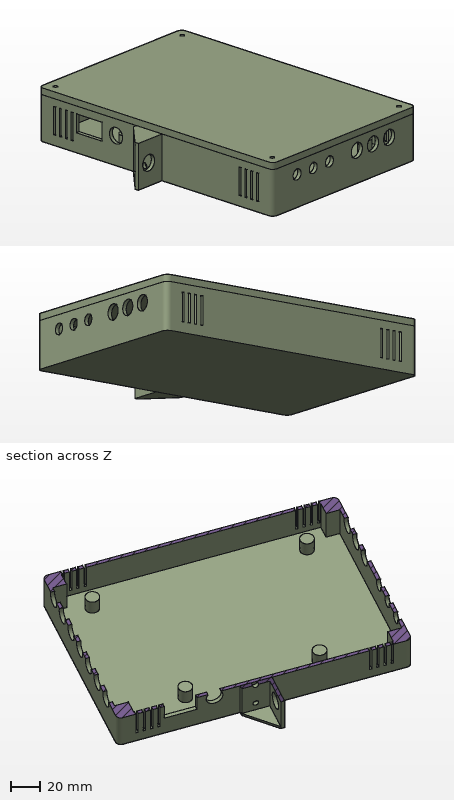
import cadquery as cq

LENGTH = 214.14
WIDTH = 144.64
TOTAL_HEIGHT = 39.2
LID_THICKNESS = 5.0
BOX_HEIGHT = TOTAL_HEIGHT - LID_THICKNESS
CORNER_RADIUS = 4.0
WALL = 3.0
FLOOR = 3.0
INNER_LENGTH = LENGTH - 2 * WALL
INNER_WIDTH = WIDTH - 2 * WALL
INNER_HEIGHT = BOX_HEIGHT - FLOOR
FRONT_Y = -WIDTH / 2
LEFT_X = -LENGTH / 2

POST_SIZE = 10.0
SCREW_HOLE_DIAMETER = 3.2
SCREW_INSET = WALL + POST_SIZE / 2

SLOT_COUNT = 4
SLOT_WIDTH = 1.6
SLOT_PITCH = 5.3
SLOT_INNER_X = 76.8
SLOT_BOTTOM = 7.8
SLOT_HEIGHT = 20.6

WINDOW_WIDTH = 23.5
WINDOW_HEIGHT = 13.8
WINDOW_X = -61.1
WINDOW_Z = 21.5
FRONT_HOLE_DIAMETER = 12.0
FRONT_HOLE_X = -36.5
FRONT_HOLE_Z = 22.0

CONNECTOR_Z = 24.1
LEFT_ROW_COUNT = 7
LEFT_ROW_DIAMETER = 11.3
LEFT_ROW_PITCH = 16.75
LEFT_ROW_CENTER_Y = 0.3
RIGHT_ROW_COUNT = 3
RIGHT_ROW_PITCH = 16.4
RIGHT_LARGE_DIAMETER = 11.3
RIGHT_LARGE_CENTER_Y = 29.0
RIGHT_SMALL_DIAMETER = 8.0
RIGHT_SMALL_CENTER_Y = -31.6

STANDOFF_DIAMETER = 10.0
STANDOFF_TOP = 13.6
BACK_STANDOFF_X = 77.9
BACK_STANDOFF_Y = 53.0
FRONT_STANDOFF_X = 48.7
FRONT_STANDOFF_Y = -48.5

BRACKET_WIDTH = 23.4
BRACKET_DEPTH = 24.0
BRACKET_HEIGHT = BOX_HEIGHT
BRACKET_PLATE = 3.0
BRACKET_WEB = 2.0
BRACKET_RIGHT_X = 5.5
BRACKET_LEFT_X = BRACKET_RIGHT_X - BRACKET_WIDTH
BRACKET_TIP_Y = FRONT_Y - BRACKET_DEPTH
BRACKET_HOLE_DIAMETER = 12.0
BRACKET_SCREW_DIAMETER = 4.0
BRACKET_SCREW_SPACING = 17.3


def centered_row(count, pitch, center=0.0):
    """Positions of evenly spaced features about a centre."""
    return [center + (i - (count - 1) / 2) * pitch for i in range(count)]


def rounded_block(base_z, height):
    """Block with the enclosure's outline and rounded vertical edges."""
    plan = cq.Workplane("XY", origin=(0, 0, base_z)).rect(LENGTH, WIDTH)
    return plan.extrude(height).edges("|Z").fillet(CORNER_RADIUS)


def corner_points(inset):
    """Workplane points at the enclosure's four corners, inset from its sides."""
    return [(sx * (LENGTH / 2 - inset), sy * (WIDTH / 2 - inset)) for sx in (-1, 1) for sy in (-1, 1)]


def front_plane(y):
    """Plane facing -Y whose local axes are X and Z, so positive extrusion goes to -Y."""
    return cq.Workplane("XZ", origin=(0, y, 0))


def end_plane(x):
    """Plane facing +X whose local axes are Y and Z."""
    return cq.Workplane("YZ", origin=(x, 0, 0))


def ventilation_slots():
    """Cutter for the slots, running through both the front and the back wall."""
    distances = [SLOT_INNER_X + i * SLOT_PITCH for i in range(SLOT_COUNT)]
    slot_z = SLOT_BOTTOM + SLOT_HEIGHT / 2
    centers = [(side * distance, slot_z) for side in (-1, 1) for distance in distances]
    return front_plane(WIDTH / 2).pushPoints(centers).rect(SLOT_WIDTH, SLOT_HEIGHT).extrude(WIDTH)


def front_openings():
    """Cutter for the window and the round opening in the front wall."""
    inner_face = front_plane(FRONT_Y + WALL)
    window = inner_face.center(WINDOW_X, WINDOW_Z).rect(WINDOW_WIDTH, WINDOW_HEIGHT).extrude(WALL)
    opening = inner_face.center(FRONT_HOLE_X, FRONT_HOLE_Z).circle(FRONT_HOLE_DIAMETER / 2).extrude(WALL)
    return window.add(opening).combine()


def connector_row(wall_x, diameter, row):
    """Cutter for a row of round holes through an end wall that starts at wall_x."""
    centers = [(y, CONNECTOR_Z) for y in row]
    return end_plane(wall_x).pushPoints(centers).circle(diameter / 2).extrude(WALL)


def corner_posts():
    floor = cq.Workplane("XY", origin=(0, 0, FLOOR))
    return floor.pushPoints(corner_points(SCREW_INSET)).rect(POST_SIZE, POST_SIZE).extrude(INNER_HEIGHT)


def standoffs():
    centers = []
    for side in (-1, 1):
        centers.append((side * BACK_STANDOFF_X, BACK_STANDOFF_Y))
        centers.append((side * FRONT_STANDOFF_X, FRONT_STANDOFF_Y))
    floor = cq.Workplane("XY", origin=(0, 0, FLOOR))
    return floor.pushPoints(centers).circle(STANDOFF_DIAMETER / 2).extrude(STANDOFF_TOP - FLOOR)


def make_box():
    """Open-topped tray with its wall openings, corner posts and standoffs."""
    cavity = cq.Workplane("XY", origin=(0, 0, FLOOR)).rect(INNER_LENGTH, INNER_WIDTH).extrude(INNER_HEIGHT)
    box = rounded_block(0, BOX_HEIGHT).cut(cavity)
    box = box.cut(ventilation_slots()).cut(front_openings())

    left_row = centered_row(LEFT_ROW_COUNT, LEFT_ROW_PITCH, LEFT_ROW_CENTER_Y)
    box = box.cut(connector_row(LEFT_X, LEFT_ROW_DIAMETER, left_row))

    right_wall_x = INNER_LENGTH / 2
    large_row = centered_row(RIGHT_ROW_COUNT, RIGHT_ROW_PITCH, RIGHT_LARGE_CENTER_Y)
    small_row = centered_row(RIGHT_ROW_COUNT, RIGHT_ROW_PITCH, RIGHT_SMALL_CENTER_Y)
    box = box.cut(connector_row(right_wall_x, RIGHT_LARGE_DIAMETER, large_row))
    box = box.cut(connector_row(right_wall_x, RIGHT_SMALL_DIAMETER, small_row))

    return box.union(corner_posts()).union(standoffs())


def make_lid():
    """Flat lid with a screw hole over each corner post."""
    underside = cq.Workplane("XY", origin=(0, 0, BOX_HEIGHT))
    holes = underside.pushPoints(corner_points(SCREW_INSET)).circle(SCREW_HOLE_DIAMETER / 2)
    return rounded_block(BOX_HEIGHT, LID_THICKNESS).cut(holes.extrude(LID_THICKNESS))


def make_bracket():
    """Two plates at a right angle, joined by a triangular web at the bottom and the top."""
    plate_front_y = FRONT_Y - BRACKET_PLATE
    side_plate_x = BRACKET_RIGHT_X - BRACKET_PLATE
    outline = [
        (BRACKET_LEFT_X, FRONT_Y),
        (BRACKET_RIGHT_X, FRONT_Y),
        (BRACKET_RIGHT_X, BRACKET_TIP_Y),
        (side_plate_x, BRACKET_TIP_Y),
        (BRACKET_LEFT_X, plate_front_y),
    ]
    bracket = cq.Workplane("XY").polyline(outline).close().extrude(BRACKET_HEIGHT)

    space = cq.Workplane("XY").box(
        side_plate_x - BRACKET_LEFT_X,
        plate_front_y - BRACKET_TIP_Y,
        BRACKET_HEIGHT - 2 * BRACKET_WEB,
        centered=False,
    )
    bracket = bracket.cut(space.translate((BRACKET_LEFT_X, BRACKET_TIP_Y, BRACKET_WEB)))

    mid_z = BRACKET_HEIGHT / 2
    hole_y = (plate_front_y + BRACKET_TIP_Y) / 2
    hole = end_plane(side_plate_x).center(hole_y, mid_z).circle(BRACKET_HOLE_DIAMETER / 2)
    bracket = bracket.cut(hole.extrude(BRACKET_PLATE))

    screw_x = (BRACKET_LEFT_X + side_plate_x) / 2
    screw_centers = [(screw_x, z) for z in centered_row(2, BRACKET_SCREW_SPACING, mid_z)]
    screws = front_plane(FRONT_Y).pushPoints(screw_centers).circle(BRACKET_SCREW_DIAMETER / 2)
    return bracket.cut(screws.extrude(BRACKET_PLATE))


box = make_box()
lid = make_lid()
bracket = make_bracket()

result = cq.Compound.makeCompound([box.val(), lid.val(), bracket.val()])